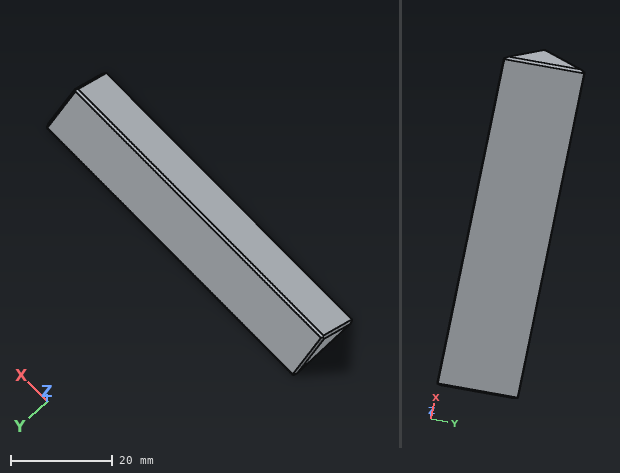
import cadquery as cq
import math

length = 71.0
leg = 12.04
chamfer = 0.5

half_base = leg / math.sqrt(2)
ridge_height = half_base


def sharp_bar():
    """Triangular bar centred on X = 0 and Y = 0, with sharp edges."""
    return (
        cq.Workplane("YZ")
        .moveTo(-half_base, 0)
        .lineTo(half_base, 0)
        .lineTo(0, ridge_height)
        .close()
        .extrude(length / 2, both=True)
    )


def chamfer_ends(bar):
    """Chamfer the three edges around each end face."""
    return bar.faces("<X or >X").edges().chamfer(chamfer)


def chamfer_long_edges(bar):
    """Chamfer the ridge and both base edges along the bar."""
    return bar.edges("|X").chamfer(chamfer)


result = chamfer_long_edges(chamfer_ends(sharp_bar()))